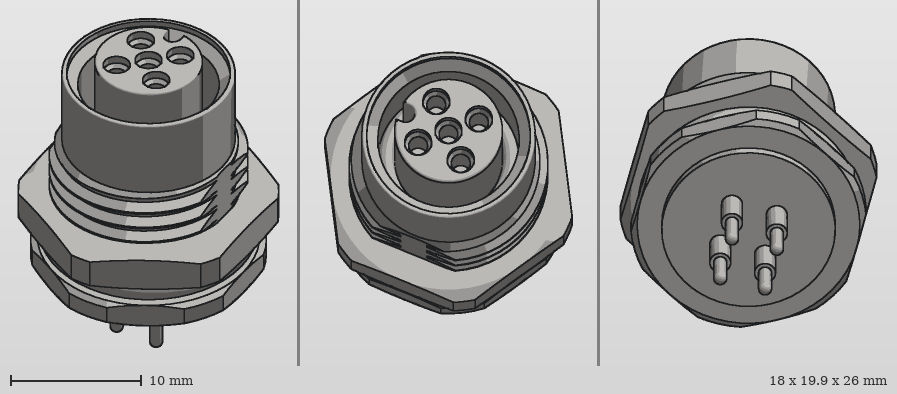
import cadquery as cq
import math

flange_nut_bottom = 0.8
flange_nut_top = 2.8
seal_section_radius = 1.0
lock_nut_bottom = flange_nut_top + 2 * seal_section_radius
lock_nut_top = 7.6
thread_top = 12.35
shell_top = 18.8
insert_top = 20.0

shell_radius = 13.25 / 2
rim_rounding = 0.125
mouth_radius = 6.25
cavity_radius = 5.4
mouth_wall_depth = 0.5
mouth_depth = 1.15
cavity_floor = 12.0

thread_radius = 15.2 / 2
thread_root_radius = 13.72 / 2
thread_pitch = 1.41
thread_root_width = 0.36
thread_crest_width = 0.15
thread_flats_width = 13.55
root_height_at_plus_x = 7.77
groove_turns = 5
groove_overcut = 0.05

lock_nut_flats = 18.0
lock_nut_corners = 19.89
lock_nut_chamfer_angle = 15
flange_nut_flats = 17.0
flange_nut_corners = 18.0
flange_nut_chamfer_angle = 30

seal_center_radius = 16.9 / 2 - seal_section_radius

insert_radius = 4.12
insert_rounding = 0.18
key_half_width = 0.68
key_center_y = 3.55

contact_circle_radius = 2.5
socket_radius = 1.03
socket_depth = 0.65
funnel_depth = 0.3
bore_radius = 0.72
bore_depth = 4.0
pin_radius = 0.8
pin_length = 3.0
tail_radius = 0.5
tail_length = 3.0
tail_rounding = 0.45


def cylinder(radius, bottom, top):
    return cq.Workplane("XY").workplane(offset=bottom).circle(radius).extrude(top - bottom)


def revolved(points):
    """Turn an (r, z) outline about the Z axis."""
    return cq.Workplane("XZ").polyline(points).close().revolve(360, (0, 0, 0), (0, 1, 0))


def ring(center_radius, section_radius, height):
    section = cq.Workplane("XZ").center(center_radius, height).circle(section_radius)
    return section.revolve(360, (-center_radius, 0, 0), (-center_radius, 1, 0))


def hex_nut(flats, corners, chamfer_angle, bottom, top):
    """Hexagon with flats facing +X and -X, turned to the corner diameter and chamfered at both ends."""
    face_radius = flats / 2
    corner_radius = corners / 2
    drop = (corner_radius - face_radius) * math.tan(math.radians(chamfer_angle))
    across_corners = flats / math.cos(math.radians(30))
    hexagon = (
        cq.Workplane("XY").workplane(offset=bottom)
        .transformed(rotate=(0, 0, 30))
        .polygon(6, across_corners)
        .extrude(top - bottom)
    )
    envelope = revolved([
        (0, bottom),
        (face_radius, bottom),
        (corner_radius, bottom + drop),
        (corner_radius, top - drop),
        (face_radius, top),
        (0, top),
    ])
    return hexagon.intersect(envelope)


def groove_turn():
    """One turn of the right-handed trapezoidal groove; it starts and ends over the +X flat."""
    flank_width = (thread_pitch - thread_root_width - thread_crest_width) / 2
    flank_slope = flank_width / (thread_radius - thread_root_radius)
    outer_radius = thread_radius + groove_overcut
    root_half = thread_root_width / 2
    outer_half = root_half + flank_slope * (outer_radius - thread_root_radius)
    path = cq.Wire.makeHelix(thread_pitch, thread_pitch, thread_root_radius)
    section = cq.Workplane("XZ").polyline([
        (thread_root_radius, -root_half),
        (outer_radius, -outer_half),
        (outer_radius, outer_half),
        (thread_root_radius, root_half),
    ]).close()
    return section.sweep(cq.Workplane(path), isFrenet=True)


def threaded_sleeve():
    bottom = lock_nut_bottom
    blank = revolved([
        (0, bottom),
        (thread_radius, bottom),
        (thread_radius, thread_top - (thread_radius - shell_radius)),
        (shell_radius, thread_top),
        (0, thread_top),
    ])
    flats = cq.Workplane("XY").workplane(offset=bottom).rect(thread_flats_width, 4 * thread_radius)
    sleeve = blank.intersect(flats.extrude(thread_top - bottom))
    for turn in range(-1, groove_turns - 1):
        height = root_height_at_plus_x + turn * thread_pitch
        sleeve = sleeve.cut(groove_turn().translate((0, 0, height)))
    return sleeve


def shell_mouth():
    return revolved([
        (0, cavity_floor),
        (cavity_radius, cavity_floor),
        (cavity_radius, shell_top - mouth_depth),
        (mouth_radius, shell_top - mouth_wall_depth),
        (mouth_radius, shell_top),
        (0, shell_top),
    ])


def insert():
    body = cylinder(insert_radius, cavity_floor, insert_top)
    slot_end = insert_radius + key_half_width
    slot = (
        cq.Workplane("XY").workplane(offset=cavity_floor)
        .moveTo(-key_half_width, slot_end)
        .lineTo(-key_half_width, key_center_y)
        .threePointArc((0, key_center_y - key_half_width), (key_half_width, key_center_y))
        .lineTo(key_half_width, slot_end)
        .close()
        .extrude(insert_top - cavity_floor)
    )
    return body.cut(slot).faces(">Z").edges().fillet(insert_rounding)


def socket():
    """Straight entry, funnel and contact bore of one socket, on the Z axis."""
    entry_bottom = insert_top - socket_depth
    funnel_bottom = entry_bottom - funnel_depth
    return revolved([
        (0, insert_top),
        (socket_radius, insert_top),
        (socket_radius, entry_bottom),
        (bore_radius, funnel_bottom),
        (bore_radius, insert_top - bore_depth),
        (0, insert_top - bore_depth),
    ])


def pin():
    """Stepped solder pin with a rounded tip, on the Z axis."""
    tail = cylinder(tail_radius, -pin_length - tail_length, 0).faces("<Z").edges().fillet(tail_rounding)
    return tail.union(cylinder(pin_radius, -pin_length, flange_nut_bottom))


offset = contact_circle_radius * math.cos(math.radians(45))
outer_contacts = [(x, y) for x in (-offset, offset) for y in (-offset, offset)]

shell = cylinder(shell_radius, 0, shell_top).faces(">Z").edges().fillet(rim_rounding)
result = (
    shell.union(threaded_sleeve())
    .cut(shell_mouth())
    .union(hex_nut(flange_nut_flats, flange_nut_corners, flange_nut_chamfer_angle,
                   flange_nut_bottom, flange_nut_top))
    .union(ring(seal_center_radius, seal_section_radius, flange_nut_top + seal_section_radius))
    .union(hex_nut(lock_nut_flats, lock_nut_corners, lock_nut_chamfer_angle,
                   lock_nut_bottom, lock_nut_top))
)

face_seal_section_radius = (cavity_radius - insert_radius) / 2
face_seal_center_radius = (cavity_radius + insert_radius) / 2
result = result.union(ring(face_seal_center_radius, face_seal_section_radius, cavity_floor))
result = result.union(insert())

for x, y in outer_contacts + [(0, 0)]:
    result = result.cut(socket().translate((x, y, 0)))
for x, y in outer_contacts:
    result = result.union(pin().translate((x, y, 0)))